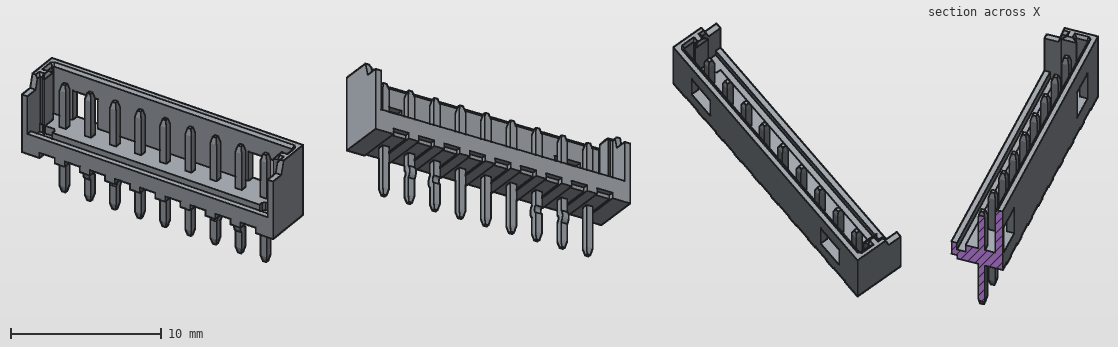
import cadquery as cq
import math


pin_count = 9
pitch = 2.0
pin_size = 0.5
pin_tip_size = 0.26
pin_tip_length = 0.48
pin_below = 3.5
pin_top_recess = 0.6
bulge_depth = 0.18
groove_depth = 0.15
kink_z = -1.3
bulge_height = 0.9
groove_height = 0.54
forward_kinks = (1, pin_count - 2)
rearward_kinks = (2, pin_count - 3)

end_margin = 2.0
length = (pin_count - 1) * pitch + 2 * end_margin
width = 3.65
height = 5.5
back_y = 1.5
front_y = back_y - width
half_length = length / 2

side_wall = 0.44
back_wall = 0.54
front_wall = 0.41
floor_z = 1.58
corner_cut = 0.08
lead_in = 0.18
lead_in_height = 0.23

wall_drop = 0.98
slope_start = 2.37
slope_end = 2.65

trough_depth = 0.6
trough_width = 0.61
trough_end_width = 1.09
trough_end_length = 1.75
trough_corner_cut = 0.17

rib_y = back_y - 1.74
rib_neck_half = 0.37
rib_tip_half = 0.55
rib_neck_x = 0.61
rib_tip_x = 0.88

window_top = height - 1.62

notch_width = 1.2
notch_height = 0.12
notch_front_height = 0.42
notch_front_depth = 0.4

pin_positions = [(i - (pin_count - 1) / 2) * pitch for i in range(pin_count)]


def block(x0, x1, y0, y1, z0, z1):
    """Box between two opposite corners."""
    return cq.Workplane("XY").box(x1 - x0, y1 - y0, z1 - z0, centered=False).translate((x0, y0, z0))


def mirrored_pair(shape):
    """The shape together with its mirror image at the other end of the housing."""
    return shape.union(shape.mirror("YZ"))


def frustum(lower, upper, z0, z1):
    """Solid between two polygons lying at heights z0 and z1."""
    return (
        cq.Workplane("XY", origin=(0, 0, z0))
        .polyline(lower).close()
        .workplane(offset=z1 - z0)
        .polyline(upper).close()
        .loft(combine=True, ruled=True)
    )


def prism(points, z0, z1):
    """Polygon extruded from z0 to z1."""
    return cq.Workplane("XY", origin=(0, 0, z0)).polyline(points).close().extrude(z1 - z0)


def cavity_outline(offset):
    """Plan of the cavity, open at the front, grown outward by the offset."""
    x = half_length - side_wall + offset
    y = back_y - back_wall + offset
    cut = corner_cut + offset * (2 - math.sqrt(2))
    return [
        (-x, front_y),
        (-x, y - cut),
        (-x + cut, y),
        (x - cut, y),
        (x, y - cut),
        (x, front_y),
    ]


def make_shell():
    """Housing block with the open-fronted cavity and stepped end walls."""
    profile = [
        (back_y, 0),
        (front_y, 0),
        (front_y, height - wall_drop),
        (back_y - slope_end, height - wall_drop),
        (back_y - slope_start, height),
        (back_y, height),
    ]
    shell = (
        cq.Workplane("YZ", origin=(-half_length, 0, 0))
        .polyline(profile).close().extrude(length)
    )
    shell = shell.cut(prism(cavity_outline(0), floor_z, height))
    return shell.cut(
        frustum(cavity_outline(0), cavity_outline(lead_in), height - lead_in_height, height)
    )


def make_trough():
    """Trough between the floor and the front wall, wider at both ends."""
    x_end = half_length - side_wall
    x_step = half_length - trough_end_length
    y_front = front_y + front_wall
    y_main = y_front + trough_width
    y_end = y_front + trough_end_width
    outline = [
        (-x_end, y_front),
        (-x_end, y_end),
        (-x_step - trough_corner_cut, y_end),
        (-x_step, y_end - trough_corner_cut),
        (-x_step, y_main),
        (x_step, y_main),
        (x_step, y_end - trough_corner_cut),
        (x_step + trough_corner_cut, y_end),
        (x_end, y_end),
        (x_end, y_front),
    ]
    return prism(outline, floor_z - trough_depth, floor_z)


def rib_section(x0, half0, x1, half1):
    """Plan trapezoid of a rib, measured from the left end face."""
    return [
        (x0 - half_length, rib_y - half0),
        (x1 - half_length, rib_y - half1),
        (x1 - half_length, rib_y + half1),
        (x0 - half_length, rib_y + half0),
    ]


def make_rib():
    """Left keying rib, with the cavity lead-in carried around its top."""
    z_bottom = floor_z - trough_depth
    z_lead = height - lead_in_height
    x_root = side_wall / 2
    slope = (rib_tip_half - rib_neck_half) / (rib_tip_x - rib_neck_x)
    top_tip_x = rib_tip_x - lead_in
    top_neck_half = rib_neck_half - lead_in
    top_flare_half = rib_neck_half - lead_in * math.hypot(1, slope)
    top_tip_half = top_flare_half + slope * (top_tip_x - rib_neck_x)

    neck = rib_section(x_root, rib_neck_half, rib_neck_x, rib_neck_half)
    neck_top = rib_section(x_root, top_neck_half, rib_neck_x, top_neck_half)
    flare = rib_section(rib_neck_x, rib_neck_half, rib_tip_x, rib_tip_half)
    flare_top = rib_section(rib_neck_x, top_flare_half, top_tip_x, top_tip_half)

    shaft = prism(neck, z_bottom, z_lead).union(prism(flare, z_bottom, z_lead))
    cap = frustum(neck, neck_top, z_lead, height).union(frustum(flare, flare_top, z_lead, height))
    return shaft.union(cap)


def make_window():
    """Left window in the back wall, between the first two pins."""
    return block(pin_positions[0], pin_positions[1], back_y - back_wall, back_y, floor_z, window_top)


def make_notch(x):
    """Clearance under one pin, taller where it opens through the front."""
    x0 = x - notch_width / 2
    x1 = x + notch_width / 2
    channel = block(x0, x1, front_y, back_y, 0, notch_height)
    mouth = block(x0, x1, front_y, front_y + notch_front_depth, 0, notch_front_height)
    return channel.union(mouth)


def pin_tip(z, direction):
    """Tapered pin end that starts at height z and points up (+1) or down (-1)."""
    return (
        cq.Workplane("XY", origin=(0, 0, z)).rect(pin_size, pin_size)
        .workplane(offset=direction * pin_tip_length).rect(pin_tip_size, pin_tip_size)
        .loft(combine=True, ruled=True)
    )


def arc_segment(y, chord, depth):
    """Bar across the pin whose section is a circular segment bowing toward -Y from y."""
    return (
        cq.Workplane("YZ", origin=(-pin_size / 2, 0, 0))
        .moveTo(y, kink_z + chord / 2)
        .threePointArc((y - depth, kink_z), (y, kink_z - chord / 2))
        .close()
        .extrude(pin_size)
    )


def make_pin(kink):
    """Square pin; kink is -1 to bow toward -Y, +1 toward +Y, 0 for a straight pin."""
    half = pin_size / 2
    z_low = pin_tip_length - pin_below
    z_high = height - pin_top_recess - pin_tip_length
    pin = block(-half, half, -half, half, z_low, z_high)
    pin = pin.union(pin_tip(z_low, -1)).union(pin_tip(z_high, 1))
    if kink != 0:
        pin = pin.union(arc_segment(-half, bulge_height, bulge_depth))
        pin = pin.cut(arc_segment(half, groove_height, groove_depth))
    if kink > 0:
        pin = pin.mirror("XZ")
    return pin


def pin_kink(index):
    """Bow direction of the pin at the given place in the row."""
    if index in forward_kinks:
        return -1
    if index in rearward_kinks:
        return 1
    return 0


housing = make_shell().cut(make_trough())
housing = housing.union(mirrored_pair(make_rib()))
housing = housing.cut(mirrored_pair(make_window()))
for pin_x in pin_positions:
    housing = housing.cut(make_notch(pin_x))

result = housing
for pin_index, pin_x in enumerate(pin_positions):
    result = result.union(make_pin(pin_kink(pin_index)).translate((pin_x, 0, 0)))